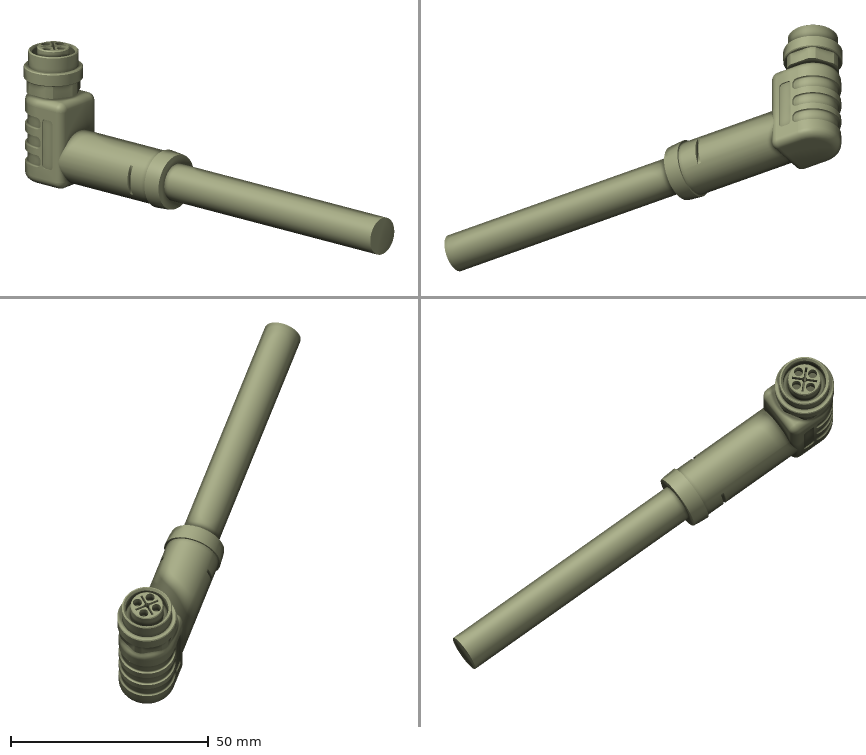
import cadquery as cq
import math

overall_length = 114.8
overall_height = 35.2
collar_diameter = 15.0
collar_radius = collar_diameter / 2

housing_height = 23.0
housing_width = 14.4
housing_round_radius = housing_width / 2
housing_back_x = 8.6
housing_edge_radius = 2.1

groove_width = 3.2
groove_end_x = 1.6
groove_end_radius = 1.3
groove_depth = 0.6
groove_center_heights = (6.4, 11.4, 16.5)
groove_floor_radius = 0.3

panel_front_x = 2.2
panel_back_x = 5.5
panel_bottom_z = 4.9
panel_top_z = 18.1
panel_corner_radius = 0.9
panel_depth = 0.3

cable_axis_z = collar_radius
sleeve_diameter = 14.0
collar_start_x = 35.8
collar_end_x = 40.1
collar_end_diameter = 14.2
cable_diameter = 9.6
cable_end_x = overall_length - collar_radius

sleeve_start_x = 6.3
slot_start_x = 29.9
slot_width = 0.9
slot_floor_y = 5.9

neck_diameter = 9.3
nut_bottom_z = 23.5
nut_side_count = 6
nut_across_flats = 13.0
nut_corner_diameter = 14.0
ring_bottom_z = 26.9
ring_top_z = 30.2
ring_chamfer = 0.2
nut_sleeve_diameter = 12.7
nut_sleeve_top_z = 34.3
bore_diameter = 10.9
nut_rim_chamfer = 0.2
bore_mouth_diameter = 11.9
bore_floor_z = 30.3

insert_diameter = 8.3
insert_chamfer = 0.2
seal_thickness = 1.4
seal_center_diameter = (insert_diameter + bore_diameter) / 2
contact_diameter = 2.3
contact_count = 4
contact_offset = 2.5
center_contact_diameter = 1.4
contact_depth = 2.9
cross_slot_angles = (45, 135)
cross_slot_width = 0.6
cross_slot_length = 6.4
cross_slot_depth = 3.9
center_contact_depth = 4.4


def cylinder_z(diameter, bottom, top):
    return cq.Workplane("XY").workplane(offset=bottom).circle(diameter / 2).extrude(top - bottom)


def cylinder_x(diameter, start, end):
    plane = cq.Workplane("YZ", origin=(start, 0, cable_axis_z))
    return plane.circle(diameter / 2).extrude(end - start)


def d_block(round_radius):
    """Full-height block with a half-round -X side and a flat +X side."""
    return (
        cq.Workplane("XY")
        .moveTo(0, round_radius)
        .threePointArc((-round_radius, 0), (0, -round_radius))
        .lineTo(housing_back_x, -round_radius)
        .lineTo(housing_back_x, round_radius)
        .close()
        .extrude(housing_height)
    )


def grip_groove(center_z):
    """Band with rounded ends around the round side, reaching groove_depth into the housing."""
    front_x = -housing_width
    slab_length = groove_end_x - front_x
    slab = (
        cq.Workplane("XY")
        .box(slab_length, 2 * housing_width, groove_width)
        .edges("|Y and >X")
        .fillet(groove_end_radius)
        .translate(((front_x + groove_end_x) / 2, 0, center_z))
    )
    floor_radius = housing_round_radius - groove_depth
    cutter = slab.cut(d_block(floor_radius))
    reach = floor_radius + groove_depth / 2
    floor_edges = cq.selectors.BoxSelector(
        (-reach, -reach, 0), (housing_back_x, reach, housing_height), boundingbox=True
    )
    return cutter.edges(floor_edges - cq.selectors.StringSyntaxSelector("|Z")).fillet(groove_floor_radius)


def side_panel(side):
    """Rounded rectangular recess; side is -1 for the -Y face and +1 for the +Y face."""
    return (
        cq.Workplane("XY")
        .box(panel_back_x - panel_front_x, 2 * panel_depth, panel_top_z - panel_bottom_z)
        .edges("|Y")
        .fillet(panel_corner_radius)
        .translate((
            (panel_front_x + panel_back_x) / 2,
            side * housing_round_radius,
            (panel_bottom_z + panel_top_z) / 2,
        ))
    )


def make_housing():
    housing = d_block(housing_round_radius)
    housing = housing.edges("|Z and >X").fillet(housing_edge_radius)
    housing = housing.faces("<Z or >Z").edges().fillet(housing_edge_radius)
    for center_z in groove_center_heights:
        housing = housing.cut(grip_groove(center_z))
    for side in (-1, 1):
        housing = housing.cut(side_panel(side))
    return housing


def make_cable_side():
    sleeve = cylinder_x(sleeve_diameter, sleeve_start_x, collar_start_x)
    slot_depth = sleeve_diameter
    slot_center_x = slot_start_x + slot_width / 2
    for side in (-1, 1):
        slot_center_y = side * (slot_floor_y + slot_depth / 2)
        slot = (
            cq.Workplane("XY")
            .box(slot_width, slot_depth, sleeve_diameter)
            .translate((slot_center_x, slot_center_y, cable_axis_z))
        )
        sleeve = sleeve.cut(slot)
    end_radius = collar_end_diameter / 2
    drop = collar_radius - end_radius
    bulge_radius = ((collar_end_x - collar_start_x) ** 2 + drop**2) / (2 * drop)
    collar = (
        cq.Workplane("XY")
        .moveTo(collar_start_x, 0)
        .lineTo(collar_start_x, collar_radius)
        .radiusArc((collar_end_x, end_radius), bulge_radius)
        .lineTo(collar_end_x, 0)
        .close()
        .revolve(360, (0, 0, 0), (1, 0, 0))
        .translate((0, 0, cable_axis_z))
    )
    cable = cylinder_x(cable_diameter, collar_start_x, cable_end_x)
    return sleeve.union(collar).union(cable)


def make_coupling_nut():
    nut_across_corners = nut_across_flats / math.cos(math.pi / nut_side_count)
    neck = cylinder_z(neck_diameter, housing_height / 2, nut_bottom_z)
    hexagon = (
        cq.Workplane("XY")
        .workplane(offset=nut_bottom_z)
        .polygon(nut_side_count, nut_across_corners)
        .extrude(ring_bottom_z - nut_bottom_z)
        .intersect(cylinder_z(nut_corner_diameter, nut_bottom_z, ring_bottom_z))
    )
    ring = cylinder_z(collar_diameter, ring_bottom_z, ring_top_z)
    ring = ring.edges().chamfer(ring_chamfer)
    sleeve = cylinder_z(nut_sleeve_diameter, ring_top_z, nut_sleeve_top_z)
    sleeve = sleeve.faces(">Z").edges().chamfer(nut_rim_chamfer)
    bore = cylinder_z(bore_diameter, bore_floor_z, nut_sleeve_top_z)
    nut = neck.union(hexagon).union(ring).union(sleeve).cut(bore)
    mouth_chamfer = (bore_mouth_diameter - bore_diameter) / 2
    bore_rim = nut.faces(">Z").edges(cq.selectors.RadiusNthSelector(0))
    return bore_rim.chamfer(mouth_chamfer)


def make_insert():
    insert = cylinder_z(insert_diameter, ring_bottom_z, overall_height)
    insert = insert.faces(">Z").edges().chamfer(insert_chamfer)
    seal = cq.Workplane("XY").add(
        cq.Solid.makeTorus(seal_center_diameter / 2, seal_thickness / 2, cq.Vector(0, 0, bore_floor_z))
    )
    contact_bottom_z = overall_height - contact_depth
    contact = cylinder_z(contact_diameter, contact_bottom_z, overall_height)
    for index in range(contact_count):
        angle = 2 * math.pi * index / contact_count
        x = contact_offset * math.cos(angle)
        y = contact_offset * math.sin(angle)
        insert = insert.cut(contact.translate((x, y, 0)))
    center_bottom_z = overall_height - center_contact_depth
    insert = insert.cut(cylinder_z(center_contact_diameter, center_bottom_z, overall_height))
    cross_slot = cq.Workplane("XY").box(cross_slot_length, cross_slot_width, 2 * cross_slot_depth)
    cross_slot = cross_slot.translate((0, 0, overall_height))
    for angle in cross_slot_angles:
        insert = insert.cut(cross_slot.rotate((0, 0, 0), (0, 0, 1), angle))
    return insert.union(seal)


result = make_housing()
for part in (make_cable_side(), make_coupling_nut(), make_insert()):
    result = result.union(part)